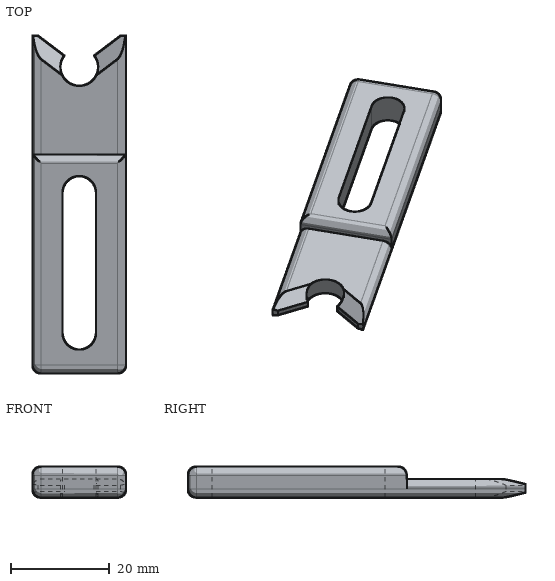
import cadquery as cq
import math

width = 19.05
length = 68.58
body_height = 6.35
edge_radius = 1.78

tongue_length = 24.13
tongue_height = 3.81

slot_width = 6.73
slot_length = 35.15
slot_heel_margin = 4.9

seat_radius = 3.81
notch_depth = 6.35
notch_half_width = 8.38

bevel_width = 3.43
bevel_edge_thickness = 1.27

cut_margin = 1.0

step_y = length - tongue_length
notch_center_y = length - notch_depth


def make_body():
    """Thick body with rounded heel corners and rounded top edges."""
    body = cq.Workplane("XY").box(width, step_y, body_height, centered=(True, False, False))
    return body.edges("|Z and <Y").fillet(edge_radius).faces(">Z").edges().fillet(edge_radius)


def make_tongue():
    """Tongue with rounded upper side edges, running up to the step."""
    tongue = cq.Workplane("XY").box(width, tongue_length, tongue_height, centered=(True, False, False))
    return tongue.translate((0, step_y, 0)).edges("|Y and >Z").fillet(edge_radius)


def round_underside(bar):
    """Round the lower edges of both sides and the heel, leaving the tip end square."""
    return bar.faces("<Z").edges("not >Y").fillet(edge_radius)


def make_slot():
    """Round-ended slot through the full height of the body."""
    return (
        cq.Workplane("XY")
        .center(0, slot_heel_margin + slot_length / 2)
        .slot2D(slot_length, slot_width, 90)
        .extrude(body_height)
    )


def make_notch():
    """Round seat joined to the V that opens toward the tip."""
    reach = 1 + cut_margin / notch_depth
    mouth_x = notch_half_width * reach
    mouth_y = notch_center_y + notch_depth * reach
    seat = cq.Workplane("XY").center(0, notch_center_y).circle(seat_radius).extrude(tongue_height)
    vee = (
        cq.Workplane("XY")
        .polyline([(0, notch_center_y), (mouth_x, mouth_y), (-mouth_x, mouth_y)])
        .close()
        .extrude(tongue_height)
    )
    return seat.union(vee)


def make_bevels():
    """Four wedges along the V edges; each starts inside the seat, so the seat rim stays square."""
    bevel_depth = (tongue_height - bevel_edge_thickness) / 2
    edge_angle = math.degrees(math.atan2(notch_depth, notch_half_width))
    wedge_length = math.hypot(notch_depth, notch_half_width) + bevel_width + cut_margin
    upper_right = (
        cq.Workplane("YZ")
        .polyline([(-bevel_width, tongue_height), (0, tongue_height), (0, tongue_height - bevel_depth)])
        .close()
        .extrude(wedge_length)
        .rotate((0, 0, 0), (0, 0, 1), edge_angle)
        .translate((0, notch_center_y, 0))
    )
    upper = upper_right.union(upper_right.mirror("YZ"))
    lower = upper.mirror("XY", (0, 0, tongue_height / 2))
    return upper.union(lower)


bar = round_underside(make_body().union(make_tongue()))
result = bar.cut(make_slot()).cut(make_notch()).cut(make_bevels())